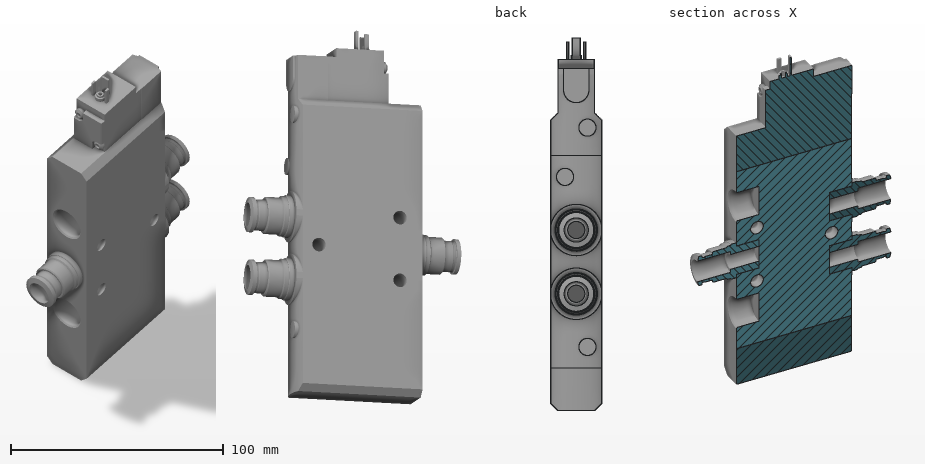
import cadquery as cq

BLOCK_WIDTH = 24.0
BLOCK_HEIGHT = 140.0
CENTRE_Z = BLOCK_HEIGHT / 2
END_CAP_HEIGHT = 20.0
CORNER_CHAMFER = 3.3
BACK_Y = 61.5
BACK_CROWN = 2.8
SEAT_Y = 61.8
PORT_PITCH = 30.0
REAR_PORT_HEIGHTS = [CENTRE_Z - PORT_PITCH / 2, CENTRE_Z + PORT_PITCH / 2]

PORT_DIAMETER = 15.6
PORT_MOUTH_DIAMETER = 16.8
PORT_DEPTH = 12.0
PORT_PAD_DIAMETER = 24.2
MOUNTING_HOLE_DIAMETER = 6.5
FRONT_HOLE_Y = 11.0
REAR_HOLE_Y = 50.7

BACK_HEAD_DIAMETER = 8.0
BACK_HEAD_X = 5.3
BLOCK_HEAD_OFFSET_Z = 40.0
CAP_HEAD_Z = 133.2
HEAD_ROOT_Y = 58.0

PILOT_WIDTH = BLOCK_WIDTH - 2 * CORNER_CHAMFER
PILOT_SEAM_Y = 45.5
COIL_INSET = 0.2
COIL_WIDTH = PILOT_WIDTH - 2 * COIL_INSET
PILOT_TOP_Z = 161.1
PILOT_FRONT_Y = 15.5
COIL_TOP_Z = 165.3
COIL_FRONT_Y = 17.9
COIL_BACK_Y = 41.2
COVER_CHAMFER = 0.5
PILOT_PAD_WIDTH = 12.0
PILOT_PAD_BOTTOM_Z = 145.0
SCREW_POCKET_WIDTH = 5.8
SCREW_POCKET_HEIGHT = 6.7
SCREW_POCKET_RADIUS = 2.6
SCREW_X = 5.6
UPPER_SCREW_Z = 157.5
LOWER_SCREW_Z = 143.9
SCREW_HEAD_DIAMETER = 5.6
SCREW_TIP_DIAMETER = 3.2
SCREW_SOCKET_DIAMETER = 2.5
SCREW_SOCKET_DEPTH = 1.0
SCREW_STRAIGHT_LENGTH = 1.2
SCREW_HEAD_LENGTH = 2.1

CONTACT_Y = 25.1
CONTACT_X = 4.0
CONTACT_THICKNESS = 1.0
SIDE_CONTACT_WIDTH = 2.1
SIDE_CONTACT_TOP_Z = 173.5
EARTH_CONTACT_Y = 29.1
EARTH_CONTACT_WIDTH = 3.9
EARTH_CONTACT_TOP_Z = 175.5
CONTACT_BOSS_DIAMETER = 5.0
CONTACT_BOSS_HEIGHT = 1.8
CONTACT_COLLAR_DIAMETER = 3.3
CONTACT_COLLAR_HEIGHT = 2.8
CONTACT_HOLE_DIAMETER = 2.0

FITTING_LENGTH = 20.7
COLLAR_DIAMETER = 20.0
COLLAR_EDGE_DIAMETER = 19.5
COLLAR_EDGE = 0.4
COLLAR_END = 2.8
SHOULDER_DIAMETER = 19.0
SHOULDER_END = 4.7
BARREL_DIAMETER = 17.5
BARREL_START = 5.3
BARREL_END = 12.6
BARREL_CHAMFER = 0.5
SLEEVE_DIAMETER = 14.7
SLEEVE_END = 16.5
GROOVE_FLANK = 0.4
GROOVE_DIAMETER = 14.2
FLANGE_DIAMETER = 16.7
FLANGE_START = 18.0
FLANGE_END = 20.0
TUBE_BORE_DIAMETER = 11.4
TUBE_BORE_DEPTH = 17.5
FLOW_BORE_DIAMETER = 8.0


def box(x_range, y_range, z_range):
    """Box spanning the given pairs of limits."""
    size = [high - low for low, high in (x_range, y_range, z_range)]
    corner = (x_range[0], y_range[0], z_range[0])
    return cq.Workplane("XY").box(*size, centered=False).translate(corner)


def cylinder_y(diameter, x, z, y_start, y_end):
    """Cylinder along Y between two Y positions."""
    disc = cq.Workplane("XZ", origin=(x, y_start, z)).circle(diameter / 2)
    return disc.extrude(y_start - y_end)


def curved_back_prism(z_low, z_high):
    """Full-width prism with a flat front and a back curved about Z."""
    half = BLOCK_WIDTH / 2
    side_y = BACK_Y - BACK_CROWN
    outline = (
        cq.Workplane("XY", origin=(0, 0, z_low))
        .moveTo(-half, 0)
        .lineTo(half, 0)
        .lineTo(half, side_y)
        .threePointArc((0, BACK_Y), (-half, side_y))
        .close()
    )
    return outline.extrude(z_high - z_low)


def block_slice(z_low, z_high):
    """Part of the valve block between two heights."""
    chamfered = (
        cq.Workplane("XZ", origin=(0, 0, CENTRE_Z))
        .rect(BLOCK_WIDTH, BLOCK_HEIGHT)
        .extrude(-SEAT_Y)
        .edges("|Y")
        .chamfer(CORNER_CHAMFER)
    )
    return chamfered.intersect(curved_back_prism(z_low, z_high))


def back_head(x, z):
    """Round head standing out of the curved back."""
    return cylinder_y(BACK_HEAD_DIAMETER, x, z, HEAD_ROOT_Y, SEAT_Y)


def open_port(z):
    """Cutter for a blind front port with a chamfered mouth."""
    mouth_depth = (PORT_MOUTH_DIAMETER - PORT_DIAMETER) / 2
    return (
        cq.Workplane("XY")
        .polyline([
            (0, 0),
            (PORT_MOUTH_DIAMETER / 2, 0),
            (PORT_DIAMETER / 2, mouth_depth),
            (PORT_DIAMETER / 2, PORT_DEPTH),
            (0, PORT_DEPTH),
        ])
        .close()
        .revolve(360, (0, 0), (0, 1))
        .translate((0, 0, z))
    )


def make_valve_body():
    body = block_slice(END_CAP_HEIGHT, BLOCK_HEIGHT - END_CAP_HEIGHT)

    half = BLOCK_WIDTH / 2
    for z in REAR_PORT_HEIGHTS:
        pad = cylinder_y(PORT_PAD_DIAMETER, 0, z, HEAD_ROOT_Y, SEAT_Y)
        body = body.union(pad.intersect(box((-half, half), (0, SEAT_Y), (0, BLOCK_HEIGHT))))

    for side in (-1, 1):
        body = body.union(back_head(side * BACK_HEAD_X, CENTRE_Z + side * BLOCK_HEAD_OFFSET_Z))

    for side in (-1, 1):
        body = body.cut(open_port(CENTRE_Z + side * PORT_PITCH))
    body = body.cut(cylinder_y(PORT_DIAMETER, 0, CENTRE_Z, 0, PORT_DEPTH))
    for z in REAR_PORT_HEIGHTS:
        body = body.cut(cylinder_y(PORT_DIAMETER, 0, z, SEAT_Y - PORT_DEPTH, SEAT_Y))

    hole_places = [(FRONT_HOLE_Y, z) for z in REAR_PORT_HEIGHTS] + [(REAR_HOLE_Y, CENTRE_Z)]
    holes = (
        cq.Workplane("YZ", origin=(-half, 0, 0))
        .pushPoints(hole_places)
        .circle(MOUNTING_HOLE_DIAMETER / 2)
        .extrude(BLOCK_WIDTH)
    )
    return body.cut(holes)


def make_bottom_cap():
    return block_slice(0, END_CAP_HEIGHT)


def cover_screw(x, z):
    """Domed screw head in a corner pocket of the pilot cover."""
    return (
        cq.Workplane("XY")
        .polyline([
            (0, 0),
            (SCREW_HEAD_DIAMETER / 2, 0),
            (SCREW_HEAD_DIAMETER / 2, -SCREW_STRAIGHT_LENGTH),
            (SCREW_TIP_DIAMETER / 2, -SCREW_HEAD_LENGTH),
            (SCREW_SOCKET_DIAMETER / 2, -SCREW_HEAD_LENGTH),
            (SCREW_SOCKET_DIAMETER / 2, SCREW_SOCKET_DEPTH - SCREW_HEAD_LENGTH),
            (0, SCREW_SOCKET_DEPTH - SCREW_HEAD_LENGTH),
        ])
        .close()
        .revolve(360, (0, 0), (0, 1))
        .translate((x, COIL_FRONT_Y, z))
    )


def screw_pocket(side, z_low, inner_corner):
    """Corner cutter in the cover; only its inner corner is rounded."""
    half = COIL_WIDTH / 2
    x_limits = sorted((side * half, side * (half - SCREW_POCKET_WIDTH)))
    pocket = box(x_limits, (PILOT_FRONT_Y, COIL_FRONT_Y), (z_low, z_low + SCREW_POCKET_HEIGHT))
    return pocket.edges("|Y").edges(inner_corner).fillet(SCREW_POCKET_RADIUS)


def make_pilot():
    rear_half = PILOT_WIDTH / 2
    coil_half = COIL_WIDTH / 2
    across = (-coil_half, coil_half)
    base_z = BLOCK_HEIGHT

    pilot = curved_back_prism(base_z, PILOT_TOP_Z).intersect(
        box((-rear_half, rear_half), (PILOT_SEAM_Y, BACK_Y), (base_z, PILOT_TOP_Z))
    )

    pilot = pilot.union(box(across, (COIL_FRONT_Y, PILOT_SEAM_Y), (base_z, PILOT_TOP_Z)))
    pilot = pilot.union(box(across, (COIL_FRONT_Y, COIL_BACK_Y), (base_z, COIL_TOP_Z)))

    pad_radius = PILOT_PAD_WIDTH / 2
    pad_centre_z = PILOT_PAD_BOTTOM_Z + pad_radius
    pilot = pilot.union(cylinder_y(PILOT_PAD_WIDTH, 0, pad_centre_z, HEAD_ROOT_Y, SEAT_Y))
    pilot = pilot.union(
        box((-pad_radius, pad_radius), (HEAD_ROOT_Y, SEAT_Y), (pad_centre_z, PILOT_TOP_Z))
    )

    cover = box(across, (PILOT_FRONT_Y, COIL_FRONT_Y), (base_z, PILOT_TOP_Z))
    cover = cover.faces("<Y").edges("|Z or <Z").chamfer(COVER_CHAMFER)
    cover = cover.cut(screw_pocket(-1, PILOT_TOP_Z - SCREW_POCKET_HEIGHT, ">X and <Z"))
    cover = cover.cut(screw_pocket(1, base_z, "<X and >Z"))
    pilot = pilot.union(cover)
    pilot = pilot.union(cover_screw(-SCREW_X, UPPER_SCREW_Z))
    return pilot.union(cover_screw(SCREW_X, LOWER_SCREW_Z))


def add_contacts(pilot):
    """Two side contacts, an earth contact and a stepped boss on the coil."""
    z_low = COIL_TOP_Z
    for side in (-1, 1):
        contact = cq.Workplane("XY", origin=(side * CONTACT_X, CONTACT_Y, z_low))
        contact = contact.rect(CONTACT_THICKNESS, SIDE_CONTACT_WIDTH)
        pilot = pilot.union(contact.extrude(SIDE_CONTACT_TOP_Z - z_low))

    earth = cq.Workplane("XY", origin=(0, EARTH_CONTACT_Y, z_low))
    earth = earth.rect(EARTH_CONTACT_WIDTH, CONTACT_THICKNESS)
    pilot = pilot.union(earth.extrude(EARTH_CONTACT_TOP_Z - z_low))

    base = cq.Workplane("XY", origin=(0, CONTACT_Y, z_low))
    boss = base.circle(CONTACT_BOSS_DIAMETER / 2).extrude(CONTACT_BOSS_HEIGHT)
    boss = boss.union(base.circle(CONTACT_COLLAR_DIAMETER / 2).extrude(CONTACT_COLLAR_HEIGHT))
    boss = boss.cut(base.circle(CONTACT_HOLE_DIAMETER / 2).extrude(CONTACT_COLLAR_HEIGHT))
    return pilot.union(boss)


def make_top_cap():
    cap = block_slice(BLOCK_HEIGHT - END_CAP_HEIGHT, BLOCK_HEIGHT)
    cap = cap.union(back_head(-BACK_HEAD_X, CAP_HEAD_Z))
    return cap.union(add_contacts(make_pilot()))


def make_fitting():
    """Push-in fitting along +Y: stem below y = 0, seat on y = 0, tube end at +Y."""
    bore_floor = FITTING_LENGTH - TUBE_BORE_DEPTH
    diameters_along_length = [
        (FLOW_BORE_DIAMETER, -PORT_DEPTH),
        (PORT_DIAMETER, -PORT_DEPTH),
        (PORT_DIAMETER, 0),
        (COLLAR_EDGE_DIAMETER, 0),
        (COLLAR_DIAMETER, COLLAR_EDGE),
        (COLLAR_DIAMETER, COLLAR_END - COLLAR_EDGE),
        (COLLAR_EDGE_DIAMETER, COLLAR_END),
        (SHOULDER_DIAMETER, COLLAR_END),
        (SHOULDER_DIAMETER, SHOULDER_END),
        (BARREL_DIAMETER, BARREL_START),
        (BARREL_DIAMETER, BARREL_END - BARREL_CHAMFER),
        (BARREL_DIAMETER - 2 * BARREL_CHAMFER, BARREL_END),
        (SLEEVE_DIAMETER, BARREL_END),
        (SLEEVE_DIAMETER, SLEEVE_END),
        (GROOVE_DIAMETER, SLEEVE_END + GROOVE_FLANK),
        (GROOVE_DIAMETER, FLANGE_START - GROOVE_FLANK),
        (SLEEVE_DIAMETER, FLANGE_START),
        (FLANGE_DIAMETER, FLANGE_START),
        (FLANGE_DIAMETER, FLANGE_END),
        (TUBE_BORE_DIAMETER, FITTING_LENGTH),
        (TUBE_BORE_DIAMETER, bore_floor),
        (FLOW_BORE_DIAMETER, bore_floor),
    ]
    profile = [(diameter / 2, y) for diameter, y in diameters_along_length]
    return cq.Workplane("XY").polyline(profile).close().revolve(360, (0, 0), (0, 1))


valve_body = make_valve_body()
top_cap = make_top_cap()
bottom_cap = make_bottom_cap()

front_fitting = make_fitting().rotate((0, 0, 0), (0, 0, 1), 180).translate((0, 0, CENTRE_Z))
fittings = [front_fitting]
for port_z in REAR_PORT_HEIGHTS:
    fittings.append(make_fitting().translate((0, SEAT_Y, port_z)))

result = cq.Compound.makeCompound([
    valve_body.val(),
    top_cap.val(),
    bottom_cap.val(),
    *[fitting.val() for fitting in fittings],
])